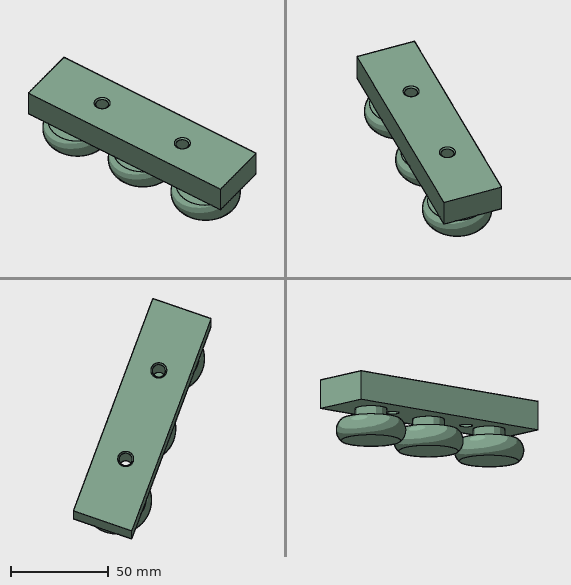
import cadquery as cq

BAR_LENGTH = 120.0
BAR_WIDTH = 31.7
BAR_HEIGHT = 14.9

ROLLER_PITCH = BAR_LENGTH / 3
ROLLER_OFFSET = 0.6
ROLLER_DIAMETER = 35.5
ROLLER_FLAT_DIAMETER = 30.2
ROLLER_HEIGHT = 10.9
NECK_DIAMETER = 16.2
NECK_LENGTH = 5.6

HOLE_DIAMETER = 6.6
HOLE_MOUTH_DIAMETER = 8.2
HOLE_SPACING = 50.0


def make_bar():
    bar = cq.Workplane("XY").box(BAR_LENGTH, BAR_WIDTH, BAR_HEIGHT, centered=(True, True, False))
    return (
        bar.faces(">Z")
        .workplane()
        .pushPoints([(-HOLE_SPACING / 2, 0), (HOLE_SPACING / 2, 0)])
        .cskHole(HOLE_DIAMETER, HOLE_MOUTH_DIAMETER, 90)
    )


def make_roller(x, y):
    """Neck and round-rimmed roller, revolved about a vertical axis at (x, y)."""
    neck_radius = NECK_DIAMETER / 2
    flat_radius = ROLLER_FLAT_DIAMETER / 2
    roller_top = -NECK_LENGTH
    roller_bottom = roller_top - ROLLER_HEIGHT
    rim_middle = (ROLLER_DIAMETER / 2, (roller_top + roller_bottom) / 2)
    return (
        cq.Workplane("XZ")
        .lineTo(neck_radius, 0)
        .lineTo(neck_radius, roller_top)
        .lineTo(flat_radius, roller_top)
        .threePointArc(rim_middle, (flat_radius, roller_bottom))
        .lineTo(0, roller_bottom)
        .close()
        .revolve(360, (0, 0), (0, 1))
        .translate((x, y, 0))
    )


result = make_bar()
for position in (-1, 0, 1):
    side_offset = ROLLER_OFFSET if position == 0 else -ROLLER_OFFSET
    result = result.union(make_roller(position * ROLLER_PITCH, side_offset))